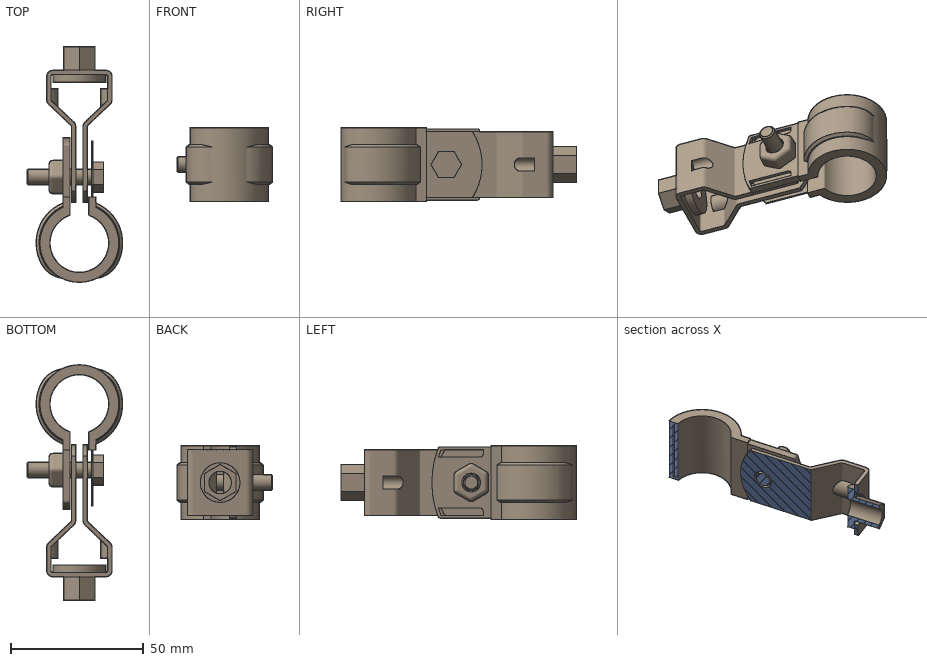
import cadquery as cq
import math


ring_radius = 14.9
bore_radius = 11.05
ring_height = 28.0
ear_gap = 6.95
ear_thickness = 2.8
ear_end_y = 17.5
bore_edge_radius = 0.7
ear_inner_x = ear_gap / 2
ear_outer_x = ear_inner_x + ear_thickness
ear_middle_x = ear_inner_x + ear_thickness / 2

pad_radius = 16.4
pad_end_radius = 10.5
pad_turn_angle = math.radians(-30)
pad_height = 15.0
pad_bevel_height = 0.9
pad_bevel_depth = 1.2

band_thickness = 0.5
band_width = 25.0
band_end_y = 38.5
band_end_radius = 23.2
band_inner_x = ear_middle_x - band_thickness / 2
band_outer_x = ear_middle_x + band_thickness / 2
band_ring_radius = (ring_radius + bore_radius) / 2

cover_width = 27.0
cover_end_y = 39.85
cover_end_radius = 37.4
cover_corner_radius = 1.0
window_inner_z = 9.6
window_outer_z = 12.4
window_start_y = 20.4
window_end_margin = 1.25
window_corner_radius = 1.25

cap_across_flats = 12.9
cap_top_x = -11.5
cap_draft = 1.8
cap_edge_radius = 1.5
cap_roof = 1.25
nut_across_flats = 10.0
nut_outer_x = cap_top_x + cap_roof
nut_height = -band_outer_x - nut_outer_x

bolt_y = 25.0
bolt_diameter = 6.0
bolt_hole_diameter = 7.0
bolt_tip_x = -19.9
bolt_tip_diameter = 4.9
bolt_tip_length = 0.5
bolt_head_across_flats = 10.0
bolt_head_height = 4.0

strap_thickness = 1.7
strap_width = 25.0
strap_half_span = 12.4
strap_leg_outer_x = 3.0
strap_top_y = 65.35
strap_shoulder_y = 53.2
strap_neck_y = 44.3
strap_end_y = 15.3
strap_end_radius = 20.0
bend_inner_radius = 0.7
bend_outer_radius = bend_inner_radius + strap_thickness

groove_radius = 2.5
groove_axis_x = 12.2
groove_end_y = 58.4
groove_bulge_radius = groove_radius + strap_thickness

flange_diameter = 20.0
flange_start_y = 60.8
flange_end_y = strap_top_y - strap_thickness
connector_across_flats = 11.9
connector_end_y = 74.3
connector_bore_diameter = 8.5
swivel_hole_diameter = 15.0

selection_margin = 0.1


def across_corners(across_flats):
    return across_flats / math.cos(math.pi / 6)


def block(x_max, y_min, y_max, height):
    """Box centred on x = 0 and z = 0."""
    centre_y = (y_min + y_max) / 2
    return cq.Workplane("XY", origin=(0, centre_y, 0)).box(2 * x_max, y_max - y_min, height)


def upright_disc(radius, height):
    return cq.Workplane("XY", origin=(0, 0, -height / 2)).circle(radius).extrude(height)


def bolt_plane(x):
    """Sketch plane facing +X, centred on the bolt axis."""
    return cq.Workplane("YZ", origin=(x, bolt_y, 0))


def bolt_cylinder(diameter, x_min, x_max):
    return bolt_plane(x_min).circle(diameter / 2).extrude(x_max - x_min)


def bolt_hexagon(x, across_flats, turn=0):
    """Hexagon around the bolt axis: corners along Y, or along Z when turned by 90 degrees."""
    plane = bolt_plane(x).transformed(rotate=(0, 0, turn))
    return plane.polygon(6, across_corners(across_flats))


def rod(x, y_min, y_max, diameter):
    """Cylinder along Y at z = 0."""
    plane = cq.Plane(origin=(x, y_min, 0), xDir=(0, 0, 1), normal=(0, 1, 0))
    return cq.Workplane(plane).circle(diameter / 2).extrude(y_max - y_min)


def edges_along_z_at(body, y):
    """Edges parallel to Z, centred on z = 0, at the given y."""
    far = 2 * ring_radius
    near_y = cq.selectors.BoxSelector(
        (-far, y - selection_margin, -selection_margin),
        (far, y + selection_margin, selection_margin),
    )
    return body.edges("|Z").edges(near_y)


def round_ended_plate(x_min, thickness, start_y, end_y, width, end_radius):
    """Plate lying across X, with an outward arc at its end_y end."""
    half_width = width / 2
    arc_height = end_radius - math.sqrt(end_radius**2 - half_width**2)
    corner_y = end_y - math.copysign(arc_height, end_y - start_y)
    return (
        cq.Workplane("YZ", origin=(x_min, 0, 0))
        .moveTo(start_y, -half_width)
        .lineTo(corner_y, -half_width)
        .threePointArc((end_y, 0), (corner_y, half_width))
        .lineTo(start_y, half_width)
        .close()
        .extrude(thickness)
    )


def make_pads():
    """Bevelled disc wider than the ring, whose sides curve into the ring near -Y."""
    turn_x = pad_radius * math.cos(pad_turn_angle)
    turn_y = pad_radius * math.sin(pad_turn_angle)
    end_centre_x = (pad_radius - pad_end_radius) * math.cos(pad_turn_angle)
    end_centre_y = (pad_radius - pad_end_radius) * math.sin(pad_turn_angle)
    middle_angle = (pad_turn_angle - math.pi / 2) / 2
    middle_x = end_centre_x + pad_end_radius * math.cos(middle_angle)
    middle_y = end_centre_y + pad_end_radius * math.sin(middle_angle)
    base_y = end_centre_y - pad_end_radius
    return (
        cq.Workplane("XY", origin=(0, 0, -pad_height / 2))
        .moveTo(-turn_x, turn_y)
        .threePointArc((0, pad_radius), (turn_x, turn_y))
        .threePointArc((middle_x, middle_y), (end_centre_x, base_y))
        .lineTo(-end_centre_x, base_y)
        .threePointArc((-middle_x, middle_y), (-turn_x, turn_y))
        .close()
        .extrude(pad_height)
        .faces("<Z or >Z")
        .chamfer(pad_bevel_height, pad_bevel_depth)
    )


def make_ring(band):
    ring = upright_disc(ring_radius, ring_height)
    ring = ring.union(make_pads())
    ring = ring.union(block(ear_outer_x, 0, ear_end_y, ring_height))
    ring = ring.cut(upright_disc(bore_radius, ring_height))
    ring = ring.cut(block(ear_inner_x, 0, ear_end_y, ring_height))
    bore_edge_y = math.sqrt(bore_radius**2 - ear_inner_x**2)
    ring = edges_along_z_at(ring, bore_edge_y).fillet(bore_edge_radius)
    return ring.cut(band)


def make_band():
    band = upright_disc(band_ring_radius + band_thickness / 2, band_width)
    band = band.cut(upright_disc(band_ring_radius - band_thickness / 2, band_width))
    band = band.cut(block(band_inner_x, 0, ring_radius, band_width))
    leg_start_y = math.sqrt(band_ring_radius**2 - ear_middle_x**2)
    for x_min in (-band_outer_x, band_inner_x):
        leg = round_ended_plate(
            x_min, band_thickness, leg_start_y, band_end_y, band_width, band_end_radius
        )
        band = band.union(leg)
    return band.cut(bolt_cylinder(bolt_hole_diameter, -ear_outer_x, ear_outer_x))


def make_windows():
    """Two windows as deep as the back of the band, ending parallel to the cover's rounded end."""
    depth = ear_outer_x - band_inner_x
    end_y = cover_end_y - window_end_margin
    end_radius = cover_end_radius - window_end_margin
    windows = round_ended_plate(
        -ear_outer_x, depth, window_start_y, end_y, 2 * window_outer_z, end_radius
    )
    windows = windows.cut(block(ear_outer_x, window_start_y, cover_end_y, 2 * window_inner_z))
    reach_z = window_inner_z + selection_margin
    inner_edges = cq.selectors.BoxSelector(
        (-2 * ear_outer_x, window_start_y - selection_margin, -reach_z),
        (0, window_start_y + selection_margin, reach_z),
    )
    return windows.edges("|X").edges(inner_edges).fillet(window_corner_radius)


def make_cap():
    return (
        bolt_hexagon(-ear_outer_x, cap_across_flats, turn=90)
        .extrude(cap_top_x + ear_outer_x, taper=cap_draft)
        .edges("not >X")
        .fillet(cap_edge_radius)
    )


def make_nut_blank():
    return bolt_hexagon(nut_outer_x, nut_across_flats, turn=90).extrude(nut_height)


def make_cover(band):
    cover = round_ended_plate(
        -ear_outer_x, ear_thickness, ear_end_y, cover_end_y, cover_width, cover_end_radius
    )
    cover = cover.edges("|X").edges(">Y").fillet(cover_corner_radius)
    cover = cover.cut(make_windows())
    cover = cover.union(make_cap())
    cover = cover.cut(bolt_cylinder(bolt_hole_diameter, cap_top_x, -ear_inner_x))
    return cover.cut(make_nut_blank()).cut(band)


def make_nut():
    return make_nut_blank().cut(bolt_cylinder(bolt_diameter, nut_outer_x, -ear_inner_x))


def make_bolt():
    tip_depth = (bolt_diameter - bolt_tip_diameter) / 2
    shank = bolt_cylinder(bolt_diameter, bolt_tip_x, band_outer_x)
    shank = shank.faces("<X").chamfer(bolt_tip_length, tip_depth)
    head = bolt_hexagon(band_outer_x, bolt_head_across_flats).extrude(bolt_head_height)
    return shank.union(head)


def make_strap_block():
    """Solid filling the strap's outer outline, longer than the legs."""
    block_start_y = strap_end_y - 2 * strap_thickness
    right_side = [
        (strap_leg_outer_x, block_start_y),
        (strap_leg_outer_x, strap_neck_y),
        (strap_half_span, strap_shoulder_y),
        (strap_half_span, strap_top_y),
    ]
    left_side = [(-x, y) for x, y in reversed(right_side)]
    strap_block = (
        cq.Workplane("XY", origin=(0, 0, -strap_width / 2))
        .polyline(right_side + left_side)
        .close()
        .extrude(strap_width)
    )
    strap_block = edges_along_z_at(strap_block, strap_neck_y).fillet(bend_inner_radius)
    for y in (strap_shoulder_y, strap_top_y):
        strap_block = edges_along_z_at(strap_block, y).fillet(bend_outer_radius)
    return strap_block


def make_strap():
    strap_block = make_strap_block()
    inside = (
        strap_block.faces("<Z")
        .wires()
        .toPending()
        .workplane(invert=True)
        .offset2D(-strap_thickness)
        .extrude(strap_width, combine=False)
    )
    strap = strap_block.cut(inside)

    for x in (-groove_axis_x, groove_axis_x):
        bulge = rod(x, strap_neck_y, groove_end_y, 2 * groove_bulge_radius)
        strap = strap.union(bulge.intersect(strap_block))
        strap = strap.cut(rod(x, strap_neck_y, groove_end_y, 2 * groove_radius))

    rounded_ends = round_ended_plate(
        -strap_half_span, 2 * strap_half_span, strap_top_y, strap_end_y, strap_width, strap_end_radius
    )
    strap = strap.intersect(rounded_ends)
    strap = strap.cut(bolt_cylinder(bolt_hole_diameter, -strap_leg_outer_x, strap_leg_outer_x))
    return strap.cut(rod(0, flange_end_y, strap_top_y, swivel_hole_diameter))


def make_swivel():
    flange = rod(0, flange_start_y, flange_end_y, flange_diameter)
    connector = (
        flange.faces(">Y")
        .workplane(centerOption="CenterOfMass")
        .transformed(rotate=(0, 0, 90))
        .polygon(6, across_corners(connector_across_flats))
        .extrude(connector_end_y - flange_end_y, combine=False)
    )
    bore = rod(0, flange_start_y, connector_end_y, connector_bore_diameter)
    return flange.union(connector).cut(bore)


band = make_band()
ring = make_ring(band)
cover = make_cover(band)
nut = make_nut()
bolt = make_bolt()
strap = make_strap()
swivel = make_swivel()

bodies = [ring, band, cover, nut, bolt, strap, swivel]
result = cq.Compound.makeCompound([body.solids().val() for body in bodies])